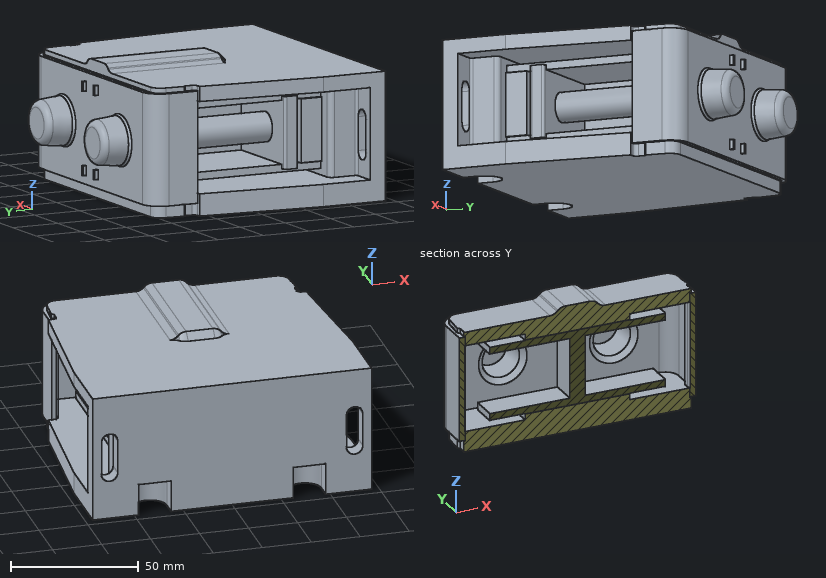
import cadquery as cq
import math

WIDTH = 114.0
HOUSING_HEIGHT = 52.0
TAPER_START_Y = 27.6
SHOULDER_Y = 80.1
SHOULDER_HALF = 52.7
NECK_END_Y = 98.0
NECK_HALF = 49.5
NECK_CORNER = 4.6
MID_Z = 27.5

GROOVE_HALF = 49.1
GROOVE_RADIUS = 1.6
GROOVE_STRAIGHT_END_Y = 84.6
GROOVE_END_Y = 85.6
GROOVE_LIP_HALF = 50.0

CAVITY_HEIGHT = 36.9
CAVITY_FRONT_Y = 6.8
FRONT_BLOCK_HALF = 45.6
FRONT_BLOCK_END_Y = 19.0
BLOCK_EDGE_RADIUS = 2.0
BLOCK_ROOT_RADIUS = 1.0

STRAP_SLOT_WIDTH = 6.6
STRAP_SLOT_HEIGHT = 20.2
STRAP_SLOT_X = 50.0

NOTCH_X = 31.6
NOTCH_RADIUS = 6.6
NOTCH_STRAIGHT = 6.6
NOTCH_HEIGHT = 13.1

LEDGE_HALF = 22.8
LEDGE_START_Y = 26.1

RAIL_HEIGHT = 3.0
RAIL_TOP_HALF = 5.5
RAIL_RADIUS = 4.3
RAIL_END_Y = 47.9
RAIL_FLANK_ANGLE = math.radians(45)

COVER_HALF = 51.3
COVER_END_Y = 100.8
COVER_HEIGHT = 44.9
COVER_CORNER = 7.8
COVER_WALL = 1.8
BEAD_DEPTH = 1.3
BEAD_RADIUS = 2.2

KNOB_X = 24.0
KNOB_END_Y = 112.7
KNOB_FOOT_RADIUS = 10.5
KNOB_FOOT_HEIGHT = 1.1
KNOB_BASE_RADIUS = 9.9
KNOB_TIP_RADIUS = 8.9
KNOB_ROUNDING = 2.8
KNOB_MOUTH_RADIUS = 10.5

MARK_X = 5.0
MARK_WIDTH = 1.3
MARK_LENGTH = 3.9
MARK_HEIGHT = 1.5
MARK_OFFSET_Z = 16.9

CARRIER_HALF = 38.1
CARRIER_END_Y = 92.3
CARRIER_HEIGHT = 31.8
PLATE_THICKNESS = 3.1
FRONT_BAR_HALF = 39.2
FRONT_BAR_END_Y = 28.3
FLANGE_HALF = 40.2
FLANGE_START_Y = 30.0
FLANGE_END_Y = 36.3
FLANGE_HEIGHT = 29.2
FLANGE_ROUNDING = 1.0
WEB_THICKNESS = 6.8
ROD_RADIUS = 6.0
ROD_END_Y = 76.3

SIDES = (-1, 1)


def block(x_half, y_start, y_end, z_start, z_end):
    """Box centred on X = 0 between the given Y and Z limits."""
    size = (2 * x_half, y_end - y_start, z_end - z_start)
    return cq.Workplane("XY").box(*size, centered=(True, False, False)).translate((0, y_start, z_start))


def mid_block(x_half, y_start, y_end, height):
    """Box centred on X = 0 and on the centre plane MID_Z."""
    return block(x_half, y_start, y_end, MID_Z - height / 2, MID_Z + height / 2)


def both_sides(shape):
    """A shape together with its mirror image in X."""
    return shape.union(shape.mirror("YZ"))


def cover_outline(height):
    """Solid block with the outer outline of the cover, from the shoulder to the rear face."""
    outer = mid_block(COVER_HALF, SHOULDER_Y, COVER_END_Y, height)
    return outer.edges("|Z and >Y").fillet(COVER_CORNER)


def snap_bead():
    """Inward bead along the front edge of the +X side wall, rounded at the front."""
    wall_half = COVER_HALF - COVER_WALL
    bead_half = wall_half - BEAD_DEPTH
    round_x = bead_half + BEAD_RADIUS * (1 - math.sqrt(0.5))
    round_y = SHOULDER_Y + BEAD_RADIUS * (1 - math.sqrt(0.5))
    return (
        cq.Workplane("XY", origin=(0, 0, MID_Z - COVER_HEIGHT / 2))
        .moveTo(bead_half + BEAD_RADIUS, SHOULDER_Y)
        .threePointArc((round_x, round_y), (bead_half, SHOULDER_Y + BEAD_RADIUS))
        .lineTo(bead_half, GROOVE_STRAIGHT_END_Y)
        .lineTo(wall_half, GROOVE_END_Y)
        .lineTo(bead_half + BEAD_RADIUS, GROOVE_END_Y)
        .close()
        .extrude(COVER_HEIGHT)
    )


def knob_outside():
    """Tapered knob on the +X half of the cover, rounded at the tip."""
    profile = [
        (0, COVER_END_Y),
        (KNOB_FOOT_RADIUS, COVER_END_Y),
        (KNOB_BASE_RADIUS, COVER_END_Y + KNOB_FOOT_HEIGHT),
        (KNOB_TIP_RADIUS, KNOB_END_Y),
        (0, KNOB_END_Y),
    ]
    knob = cq.Workplane("XY").polyline(profile).close().revolve(360, (0, 0, 0), (0, 1, 0))
    return knob.edges(">Y").fillet(KNOB_ROUNDING).translate((KNOB_X, 0, MID_Z))


def knob_hollow():
    """Space inside the knob, flared where it opens through the cover wall."""
    mouth_y = COVER_END_Y - COVER_WALL
    profile = [
        (0, mouth_y),
        (KNOB_MOUTH_RADIUS, mouth_y),
        (KNOB_BASE_RADIUS - COVER_WALL, COVER_END_Y),
        (KNOB_TIP_RADIUS - COVER_WALL, KNOB_END_Y - COVER_WALL),
        (0, KNOB_END_Y - COVER_WALL),
    ]
    hollow = cq.Workplane("XY").polyline(profile).close().revolve(360, (0, 0, 0), (0, 1, 0))
    return hollow.translate((KNOB_X, 0, MID_Z))


def raised_mark():
    """Small upright bar that stands on the rear face of the cover."""
    return cq.Workplane("XY").box(MARK_WIDTH, MARK_HEIGHT, MARK_LENGTH, centered=(True, False, True))


def make_cover():
    """U-shaped shell with two hollow knobs, four marks and a snap bead along each front edge."""
    inside = mid_block(COVER_HALF - COVER_WALL, SHOULDER_Y, COVER_END_Y - COVER_WALL, COVER_HEIGHT)
    inside = inside.edges("|Z and >Y").fillet(COVER_CORNER - COVER_WALL)
    cover = cover_outline(COVER_HEIGHT).cut(inside)
    cover = cover.union(both_sides(snap_bead()))
    cover = cover.union(both_sides(knob_outside())).cut(both_sides(knob_hollow()))
    for side_x in SIDES:
        for side_z in SIDES:
            mark_place = (side_x * MARK_X, COVER_END_Y, MID_Z + side_z * MARK_OFFSET_Z)
            cover = cover.union(raised_mark().translate(mark_place))
    return cover


def neck_half_outline():
    """+X half of the plan outline: straight front, tapered side, snap groove and narrow neck."""
    groove_turn = GROOVE_RADIUS * (1 - math.sqrt(0.5))
    corner_turn = NECK_CORNER * (1 - math.sqrt(0.5))
    return (
        cq.Workplane("XY")
        .lineTo(WIDTH / 2, 0)
        .lineTo(WIDTH / 2, TAPER_START_Y)
        .lineTo(SHOULDER_HALF, SHOULDER_Y)
        .lineTo(GROOVE_HALF + GROOVE_RADIUS, SHOULDER_Y)
        .threePointArc(
            (GROOVE_HALF + groove_turn, SHOULDER_Y + groove_turn),
            (GROOVE_HALF, SHOULDER_Y + GROOVE_RADIUS),
        )
        .lineTo(GROOVE_HALF, GROOVE_STRAIGHT_END_Y)
        .lineTo(GROOVE_LIP_HALF, GROOVE_END_Y)
        .lineTo(NECK_HALF, NECK_END_Y - NECK_CORNER)
        .threePointArc(
            (NECK_HALF - corner_turn, NECK_END_Y - corner_turn),
            (NECK_HALF - NECK_CORNER, NECK_END_Y),
        )
        .lineTo(0, NECK_END_Y)
        .close()
    )


def housing_shell():
    """Outer shape, filled out to the cover over the height of the cover."""
    shell = both_sides(neck_half_outline().extrude(HOUSING_HEIGHT))
    return shell.union(cover_outline(COVER_HEIGHT))


def cavity():
    """Opening from side to side and through the rear, around the block behind the front wall."""
    opening = mid_block(WIDTH, CAVITY_FRONT_Y, COVER_END_Y, CAVITY_HEIGHT)
    front_block = mid_block(FRONT_BLOCK_HALF, CAVITY_FRONT_Y, FRONT_BLOCK_END_Y, CAVITY_HEIGHT)
    front_block = front_block.edges("|Z and >Y").fillet(BLOCK_EDGE_RADIUS)
    opening = opening.cut(front_block)
    roots = cq.selectors.BoxSelector(
        (-FRONT_BLOCK_HALF - BLOCK_ROOT_RADIUS, CAVITY_FRONT_Y - BLOCK_ROOT_RADIUS, 0),
        (FRONT_BLOCK_HALF + BLOCK_ROOT_RADIUS, CAVITY_FRONT_Y + BLOCK_ROOT_RADIUS, HOUSING_HEIGHT),
    )
    return opening.edges("|Z").edges(roots).fillet(BLOCK_ROOT_RADIUS)


def carrier_ledges():
    """Ledges that fill the gaps between the carrier and the floor and ceiling of the cavity."""
    slab = mid_block(LEDGE_HALF, LEDGE_START_Y, CARRIER_END_Y, CAVITY_HEIGHT)
    return slab.cut(mid_block(LEDGE_HALF, LEDGE_START_Y, CARRIER_END_Y, CARRIER_HEIGHT))


def strap_slots():
    """Upright rounded slots through the front wall, one along each side of the front block."""
    return (
        cq.Workplane("XZ", origin=(0, 0, HOUSING_HEIGHT / 2))
        .pushPoints([(side * STRAP_SLOT_X, 0) for side in SIDES])
        .slot2D(STRAP_SLOT_HEIGHT, STRAP_SLOT_WIDTH, 90)
        .extrude(-FRONT_BLOCK_END_Y)
    )


def bottom_notch():
    """Round-ended notch in the lower front edge, on the +X half."""
    straight = block(NOTCH_RADIUS, 0, NOTCH_STRAIGHT, 0, NOTCH_HEIGHT)
    rounded = cq.Workplane("XY").center(0, NOTCH_STRAIGHT).circle(NOTCH_RADIUS).extrude(NOTCH_HEIGHT)
    return straight.union(rounded).translate((NOTCH_X, 0, 0))


def top_rail():
    """Rail with S-shaped flanks, and its front end that slopes at 45 degrees into the top face."""
    arc_dx = RAIL_RADIUS * math.sin(RAIL_FLANK_ANGLE)
    arc_dz = RAIL_RADIUS * (1 - math.cos(RAIL_FLANK_ANGLE))
    half_dx = RAIL_RADIUS * math.sin(RAIL_FLANK_ANGLE / 2)
    half_dz = RAIL_RADIUS * (1 - math.cos(RAIL_FLANK_ANGLE / 2))
    flank_dx = (RAIL_HEIGHT - 2 * arc_dz) / math.tan(RAIL_FLANK_ANGLE)
    crest_end = RAIL_TOP_HALF + arc_dx
    foot_start = crest_end + flank_dx
    foot_end = foot_start + arc_dx

    section = (
        cq.Workplane("XZ", origin=(0, RAIL_END_Y, HOUSING_HEIGHT))
        .moveTo(-foot_end, 0)
        .threePointArc((-foot_end + half_dx, half_dz), (-foot_start, arc_dz))
        .lineTo(-crest_end, RAIL_HEIGHT - arc_dz)
        .threePointArc((-RAIL_TOP_HALF - half_dx, RAIL_HEIGHT - half_dz), (-RAIL_TOP_HALF, RAIL_HEIGHT))
        .lineTo(RAIL_TOP_HALF, RAIL_HEIGHT)
        .threePointArc((RAIL_TOP_HALF + half_dx, RAIL_HEIGHT - half_dz), (crest_end, RAIL_HEIGHT - arc_dz))
        .lineTo(foot_start, arc_dz)
        .threePointArc((foot_end - half_dx, half_dz), (foot_end, 0))
        .close()
    )
    face = cq.Face.makeFromWires(section.wires().val())
    rail = cq.Solid.extrudeLinear(face, cq.Vector(0, NECK_END_Y - RAIL_END_Y, 0))
    sloped_end = cq.Solid.extrudeLinear(face, cq.Vector(0, -RAIL_HEIGHT, -RAIL_HEIGHT))
    return cq.Workplane(rail), cq.Workplane(sloped_end)


def make_housing(cover):
    """Hollow box with a top rail, recessed to fit the cover around its rear end."""
    housing = housing_shell().cut(cavity())
    housing = housing.union(carrier_ledges())
    housing = housing.cut(strap_slots()).cut(both_sides(bottom_notch()))
    for rail_part in top_rail():
        housing = housing.union(rail_part)
    return housing.cut(cover)


def make_carrier():
    """Two plates joined by a web and a front bar, with a rounded flange that holds two rods."""
    gap_height = CARRIER_HEIGHT - 2 * PLATE_THICKNESS
    carrier = mid_block(CARRIER_HALF, FRONT_BLOCK_END_Y, CARRIER_END_Y, CARRIER_HEIGHT)
    carrier = carrier.cut(mid_block(CARRIER_HALF, FRONT_BLOCK_END_Y, CARRIER_END_Y, gap_height))
    carrier = carrier.union(mid_block(FRONT_BAR_HALF, FRONT_BLOCK_END_Y, FRONT_BAR_END_Y, gap_height))
    carrier = carrier.union(mid_block(WEB_THICKNESS / 2, FRONT_BAR_END_Y, CARRIER_END_Y, gap_height))
    flange = mid_block(FLANGE_HALF, FLANGE_START_Y, FLANGE_END_Y, FLANGE_HEIGHT)
    carrier = carrier.union(flange.edges("|Z").fillet(FLANGE_ROUNDING))
    rods = (
        cq.Workplane("XZ", origin=(0, FLANGE_END_Y, MID_Z))
        .pushPoints([(side * KNOB_X, 0) for side in SIDES])
        .circle(ROD_RADIUS)
        .extrude(FLANGE_END_Y - ROD_END_Y)
    )
    return carrier.union(rods)


cover = make_cover()
housing = make_housing(cover)
carrier = make_carrier()
result = cq.Compound.makeCompound([body.solids().val() for body in (housing, cover, carrier)])